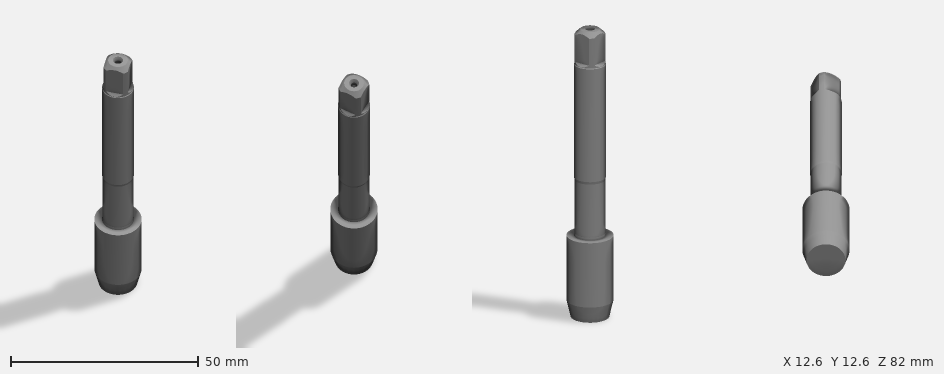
import cadquery as cq
import math

total_height = 82.0
head_height = 23.1

head_diameter = 12.6
tip_diameter = 10.4
taper_height = 4.75

shank_diameter = 8.5
neck_diameter = 8.2
neck_top = 39.8
flare_height = 0.7
shank_top = 72.0

drive_diameter = 8.2
drive_across_flats = 6.7
flat_bottom = 73.0
drive_top_diameter = 5.25
drive_chamfer_height = 1.3

centre_hole_diameter = 1.6
centre_hole_depth = 2.05
countersink_diameter = 2.7
countersink_angle = 60.0
drill_point_angle = 120.0


def revolve_profile(points):
    """Turn a closed (radius, height) outline around the Z axis."""
    return cq.Workplane("XZ").polyline(points).close().revolve(360, (0, 0), (0, 1))


def make_head():
    """Solid cutting head with a conical lead-in at its tip."""
    return revolve_profile([
        (0, 0),
        (tip_diameter / 2, 0),
        (head_diameter / 2, taper_height),
        (head_diameter / 2, head_height),
        (0, head_height),
    ])


def make_turned_shank():
    """Neck with a flare at each end, shank, and the round stock of the drive."""
    shank_radius = shank_diameter / 2
    neck_radius = neck_diameter / 2
    drive_radius = drive_diameter / 2
    shoulder_chamfer = shank_radius - drive_radius
    return revolve_profile([
        (0, head_height),
        (shank_radius, head_height),
        (neck_radius, head_height + flare_height),
        (neck_radius, neck_top - flare_height),
        (shank_radius, neck_top),
        (shank_radius, shank_top),
        (drive_radius, shank_top + shoulder_chamfer),
        (drive_radius, total_height - drive_chamfer_height),
        (drive_top_diameter / 2, total_height),
        (0, total_height),
    ])


def make_flat_cutter():
    """Block that mills the +X flat, with a floor sloping outward at 45 degrees."""
    flat_distance = drive_across_flats / 2
    reach = shank_diameter
    slope_run = reach - flat_distance
    return (
        cq.Workplane("XZ")
        .polyline([
            (flat_distance, flat_bottom),
            (reach, flat_bottom - slope_run),
            (reach, total_height),
            (flat_distance, total_height),
        ])
        .close()
        .extrude(shank_diameter / 2, both=True)
    )


def make_centre_hole():
    """Countersunk blind hole with a conical drill point."""
    hole_radius = centre_hole_diameter / 2
    sink_radius = countersink_diameter / 2
    sink_depth = (sink_radius - hole_radius) / math.tan(math.radians(countersink_angle / 2))
    point_depth = hole_radius / math.tan(math.radians(drill_point_angle / 2))
    hole_floor = total_height - centre_hole_depth
    return revolve_profile([
        (0, total_height),
        (sink_radius, total_height),
        (hole_radius, total_height - sink_depth),
        (hole_radius, hole_floor),
        (0, hole_floor - point_depth),
    ])


def make_shank():
    """Turned shank with four drive flats and a centre hole."""
    shank = make_turned_shank()
    for quarter in range(4):
        shank = shank.cut(make_flat_cutter().rotate((0, 0, 0), (0, 0, 1), 90 * quarter))
    return shank.cut(make_centre_hole())


head = make_head()
shank = make_shank()

result = cq.Compound.makeCompound([head.val(), *shank.vals()])